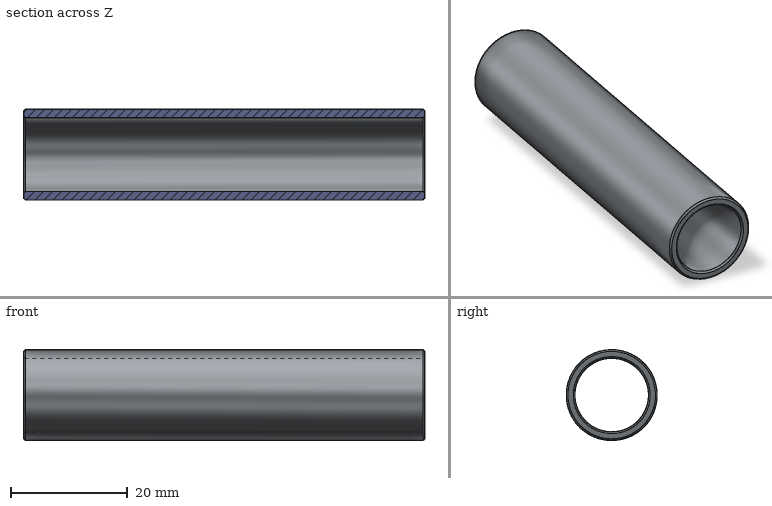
import cadquery as cq

length = 68.75
outer_diameter = 15.6
bore_diameter = 12.6
edge_chamfer = 0.3

tube = (
    cq.Workplane("YZ", origin=(-length / 2, 0, 0))
    .circle(outer_diameter / 2)
    .circle(bore_diameter / 2)
    .extrude(length)
)

result = tube.faces("<X or >X").edges().chamfer(edge_chamfer)